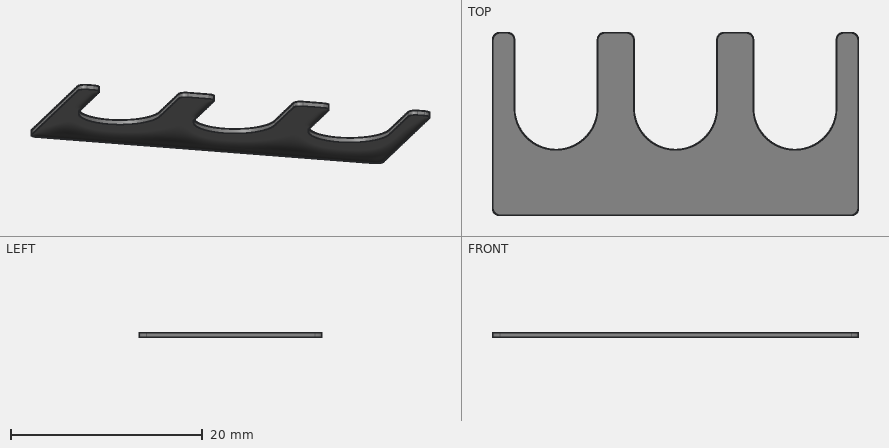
import cadquery as cq

length = 38.1
width = 19.05
thickness = 0.5
corner_radius = 0.762

slot_count = 3
slot_width = 8.636
slot_pitch = 12.446
slot_depth = 12.192


def make_plate():
    """Flat rectangular plate resting on Z = 0."""
    return cq.Workplane("XY").box(length, width, thickness, centered=(True, True, False))


def make_slot(center_x):
    """Cutter for one slot: straight sides with a full-radius closed end."""
    radius = slot_width / 2
    open_y = width / 2
    bottom_y = open_y - slot_depth
    arc_center_y = bottom_y + radius
    return (
        cq.Workplane("XY")
        .moveTo(center_x - radius, open_y)
        .lineTo(center_x - radius, arc_center_y)
        .threePointArc((center_x, bottom_y), (center_x + radius, arc_center_y))
        .lineTo(center_x + radius, open_y)
        .close()
        .extrude(thickness)
    )


def round_corners(body):
    """Round the outer plate corners and the tips of the fingers between the slots."""
    tips = body.faces(">Y").edges("|Z")
    base = body.faces("<Y").edges("|Z")
    return body.newObject(tips.vals() + base.vals()).fillet(corner_radius)


result = make_plate()
for index in range(slot_count):
    slot_x = (index - (slot_count - 1) / 2) * slot_pitch
    result = result.cut(make_slot(slot_x))
result = round_corners(result)